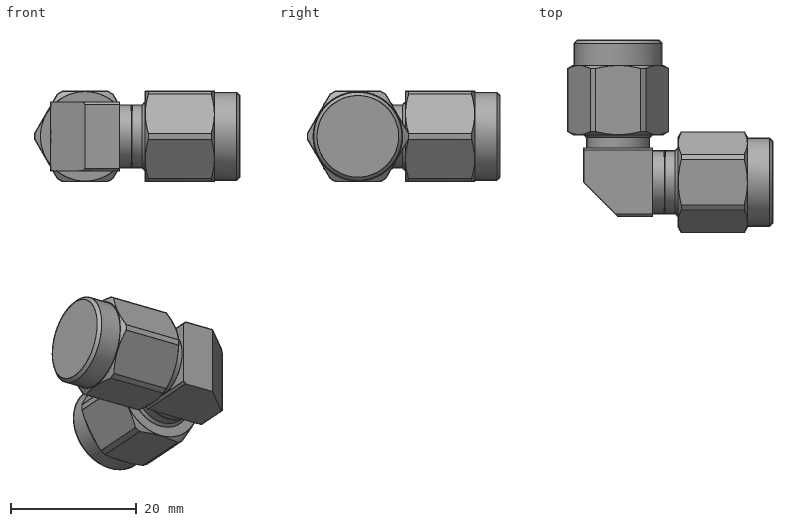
import cadquery as cq
import math

block_size = 10.95
block_chamfer = 0.4
block_half = block_size / 2

neck_radius = 5.0
stub_length = 2.0
relief_width = 0.13
relief_radius = 4.05

connector_length = 17.1
flare_start = 1.6
nut_start = 2.05
nut_end = 13.1
flare_radius = neck_radius + nut_start - flare_start
nut_flats = 14.32
nut_corner_radius = 8.0
nut_face_radius = 7.1
nut_chamfer_angle = 30.0
ring_radius = 7.0
ring_chamfer = 0.52


def make_elbow():
    """Cube with one vertical edge cut off at 45 degrees and a stub on its +X face."""
    block = (
        cq.Workplane("XY")
        .box(block_size, block_size, block_size)
        .edges("|X")
        .chamfer(block_chamfer)
    )
    corner_cut = (
        cq.Workplane("XY")
        .polyline([(-block_half, 0), (-block_half, -block_half), (0, -block_half)])
        .close()
        .extrude(block_size, both=True)
    )
    stub_face = cq.Workplane("YZ").workplane(offset=block_half)
    stub = stub_face.circle(neck_radius).extrude(stub_length - relief_width)
    relief = stub_face.circle(relief_radius).extrude(stub_length)
    return block.cut(corner_cut).union(stub).union(relief)


def make_nut():
    """Hexagon along Z, trimmed by a cylinder with a cone at each end."""
    corner_diameter = nut_flats / math.cos(math.radians(30))
    hexagon = (
        cq.Workplane("XY")
        .workplane(offset=nut_start)
        .polygon(6, corner_diameter)
        .extrude(nut_end - nut_start)
    )
    chamfer_drop = (nut_corner_radius - nut_face_radius) * math.tan(math.radians(nut_chamfer_angle))
    envelope = (
        cq.Workplane("XZ")
        .polyline([
            (0, nut_start),
            (nut_face_radius, nut_start),
            (nut_corner_radius, nut_start + chamfer_drop),
            (nut_corner_radius, nut_end - chamfer_drop),
            (nut_face_radius, nut_end),
            (0, nut_end),
        ])
        .close()
        .revolve(360, (0, 0, 0), (0, 1, 0))
    )
    return hexagon.intersect(envelope)


def make_connector():
    """Neck, flare, hexagon nut and end ring along +Z, seated at the origin."""
    core = (
        cq.Workplane("XZ")
        .polyline([
            (0, 0),
            (neck_radius, 0),
            (neck_radius, flare_start),
            (flare_radius, nut_start),
            (ring_radius, nut_start),
            (ring_radius, connector_length - ring_chamfer),
            (ring_radius - ring_chamfer, connector_length),
            (0, connector_length),
        ])
        .close()
        .revolve(360, (0, 0, 0), (0, 1, 0))
    )
    return core.union(make_nut())


connector_seats = [
    cq.Plane(origin=(block_half + stub_length, 0, 0), xDir=(0, 1, 0), normal=(1, 0, 0)),
    cq.Plane(origin=(0, block_half, 0), xDir=(1, 0, 0), normal=(0, 1, 0)),
]

elbow = make_elbow()
connectors = [make_connector().val().moved(cq.Location(seat)) for seat in connector_seats]

result = cq.Compound.makeCompound([elbow.val(), *connectors])